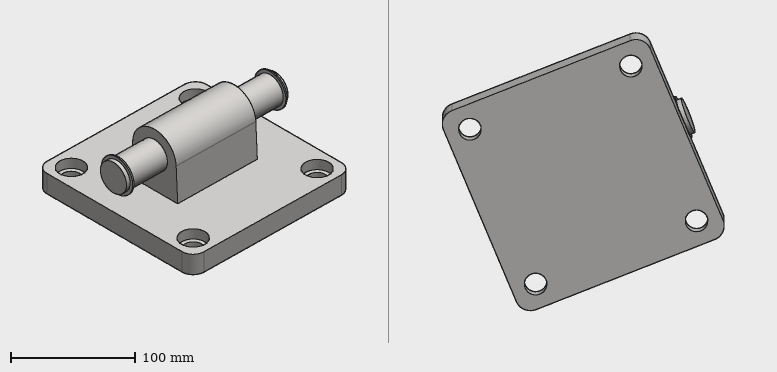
import cadquery as cq
import math

plate_side = 180.0
plate_thickness = 20.0
corner_radius = 12.5

hole_spacing = 140.0
hole_diameter = 18.0
counterbore_diameter = 26.0
counterbore_depth = 10.0

total_height = 80.0
support_length = 90.0
support_base_width = 53.5
support_top_radius = 25.0
pin_height = total_height - support_top_radius

pin_length = 182.5
pin_diameter = 30.0
ring_diameter = 36.0
ring_thickness = 1.5
ring_end_gap = 4.0


def make_plate():
    plate = cq.Workplane("XY").box(
        plate_side, plate_side, plate_thickness, centered=(True, True, False)
    )
    return (
        plate.edges("|Z").fillet(corner_radius)
        .faces(">Z").workplane()
        .rect(hole_spacing, hole_spacing, forConstruction=True).vertices()
        .cboreHole(hole_diameter, counterbore_diameter, counterbore_depth)
    )


def make_support():
    half_base = support_base_width / 2
    drop = pin_height - plate_thickness
    reach = math.hypot(half_base, drop)
    tangent_angle = math.acos(support_top_radius / reach) - math.atan2(drop, half_base)
    tangent_x = support_top_radius * math.cos(tangent_angle)
    tangent_z = pin_height + support_top_radius * math.sin(tangent_angle)
    return (
        cq.Workplane("XZ")
        .moveTo(-half_base, plate_thickness)
        .lineTo(half_base, plate_thickness)
        .lineTo(tangent_x, tangent_z)
        .threePointArc((0, total_height), (-tangent_x, tangent_z))
        .close()
        .extrude(support_length / 2, both=True)
    )


def cylinder_along_y(diameter, length, center_y=0):
    return (
        cq.Workplane("XZ", origin=(0, center_y, pin_height))
        .circle(diameter / 2)
        .extrude(length / 2, both=True)
    )


result = make_plate().union(make_support()).union(cylinder_along_y(pin_diameter, pin_length))

ring_offset = pin_length / 2 - ring_end_gap - ring_thickness / 2
for side in (-1, 1):
    result = result.union(cylinder_along_y(ring_diameter, ring_thickness, side * ring_offset))